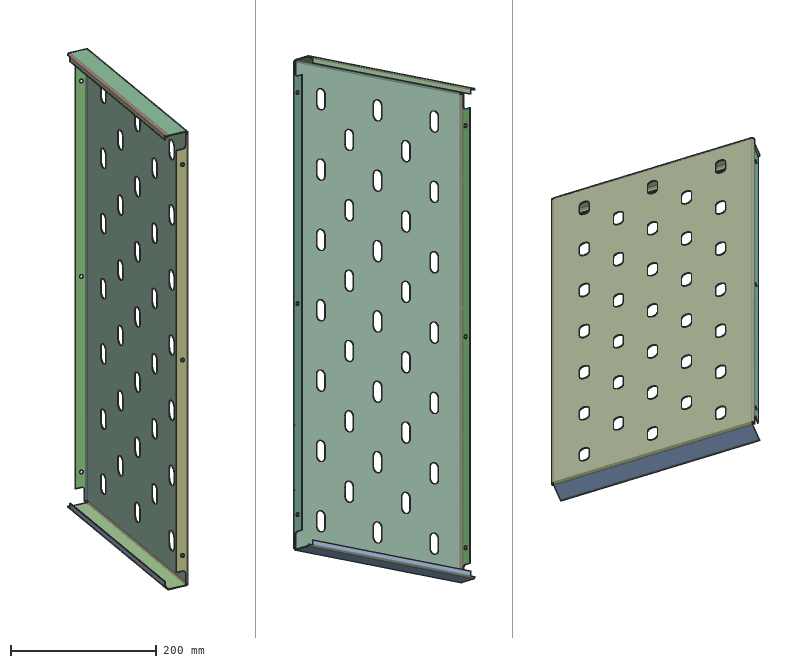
import cadquery as cq

width = 298.0
depth = 33.0
height = 698.0

thickness = 1.5
inner_bend = 1.5
outer_bend = inner_bend + thickness
back_y = depth / 2
front_y = -depth / 2
flat_width = width - 2 * outer_bend
flat_height = height - 2 * outer_bend

lip_height = 10.0
lip_end_inset = 10.0

side_depth = 19.5
strip_depth = 5.0
strip_length = 25.0
step_radius = 5.0

side_hole_diameter = 5.5
side_hole_pitch = 300.0
side_hole_count = 3
side_hole_setback = 10.0

slot_width = 15.0
slot_length = 30.0
slot_pitch = side_hole_pitch / 3
long_columns, long_rows = 3, 7
short_columns, short_rows = long_columns - 1, long_rows - 1


def box_between(x_range, y_range, z_range):
    """Axis-aligned box given by its limits along X, Y and Z."""
    spans = (x_range, y_range, z_range)
    size = [high - low for low, high in spans]
    middle = [(low + high) / 2 for low, high in spans]
    return cq.Workplane("XY").box(*size).translate(tuple(middle))


def centred(length):
    return (-length / 2, length / 2)


def end_folded_sheet():
    """Back plate with top and bottom flanges and their lips, a C section along X."""
    outer = box_between(centred(flat_width), (front_y, back_y), centred(height))
    outer = outer.edges("|X").fillet(outer_bend)
    inner = box_between(
        centred(flat_width),
        (front_y + thickness, back_y - thickness),
        centred(height - 2 * thickness),
    )
    inner = inner.edges("|X").fillet(inner_bend)
    opening = box_between(
        centred(flat_width),
        (front_y, front_y + outer_bend),
        centred(height - 2 * lip_height),
    )
    sheet = outer.cut(inner).cut(opening)

    for side in (-1, 1):
        x_limits = sorted((side * (width / 2 - lip_end_inset), side * width / 2))
        lip_end = box_between(x_limits, (front_y, front_y + outer_bend), centred(flat_height))
        sheet = sheet.cut(lip_end)
    return sheet


def side_folded_sheet():
    """Back plate with the two side flanges, a U section along Z."""
    side_front_y = back_y - side_depth
    outer = box_between(centred(width), (side_front_y, back_y), centred(flat_height))
    outer = outer.edges("|Z and >Y").fillet(outer_bend)
    inner = box_between(
        centred(width - 2 * thickness),
        (side_front_y, back_y - thickness),
        centred(flat_height),
    )
    inner = inner.edges("|Z and >Y").fillet(inner_bend)
    sheet = outer.cut(inner)

    for end in (-1, 1):
        z_limits = sorted((end * (height / 2 - strip_length), end * height / 2))
        step = box_between(centred(width), (side_front_y, back_y - strip_depth), z_limits)
        inside_corner = "|X and >Y and <Z" if end > 0 else "|X and >Y and >Z"
        sheet = sheet.cut(step.edges(inside_corner).fillet(step_radius))
    return sheet


def side_holes():
    """Column of cylinders along X that pass through both side flanges."""
    return (
        cq.Workplane("YZ", origin=(0, back_y - side_hole_setback, 0))
        .rarray(7, side_hole_pitch, 1, side_hole_count)
        .circle(side_hole_diameter / 2)
        .extrude(width, both=True)
    )


def slot_grid(columns, rows):
    """Centred grid of vertical slots through the back plate."""
    return (
        cq.Workplane("XZ", origin=(0, back_y, 0))
        .rarray(slot_pitch, slot_pitch, columns, rows)
        .slot2D(slot_length, slot_width, 90)
        .extrude(thickness)
    )


result = (
    end_folded_sheet()
    .union(side_folded_sheet())
    .cut(side_holes())
    .cut(slot_grid(long_columns, long_rows))
    .cut(slot_grid(short_columns, short_rows))
)